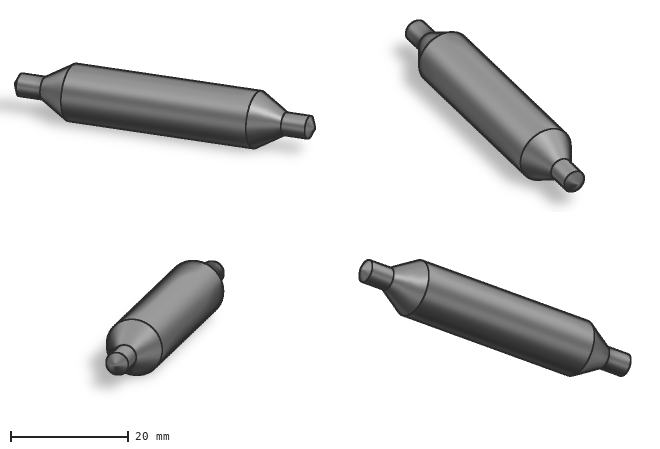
import cadquery as cq
import math

overall_length = 56.0
shank_radius = 5.0
pilot_radius = 2.0
pilot_length = 5.6
countersink_angle = 60.0
point_angle = 120.0

point_length = pilot_radius / math.tan(math.radians(point_angle / 2))
countersink_length = (shank_radius - pilot_radius) / math.tan(math.radians(countersink_angle / 2))

point_x = overall_length / 2
pilot_start_x = point_x - point_length
countersink_small_x = point_x - pilot_length
countersink_large_x = countersink_small_x - countersink_length


def revolve_about_x(profile_points):
    """Full turn of an (x, radius) profile about the X axis."""
    return cq.Workplane("XY").polyline(profile_points).close().revolve(360, (0, 0, 0), (1, 0, 0))


def cutting_profile(direction):
    """(x, radius) points from the point to the shank; direction is +1 or -1 along X."""
    return [
        (direction * point_x, 0),
        (direction * pilot_start_x, pilot_radius),
        (direction * countersink_small_x, pilot_radius),
        (direction * countersink_large_x, shank_radius),
    ]


cutting_end = revolve_about_x(cutting_profile(1) + [(countersink_large_x, 0)])

drill_body = revolve_about_x(
    cutting_profile(-1) + [(countersink_large_x, shank_radius), (countersink_large_x, 0)]
)

result = cq.Compound.makeCompound([cutting_end.val(), drill_body.val()])